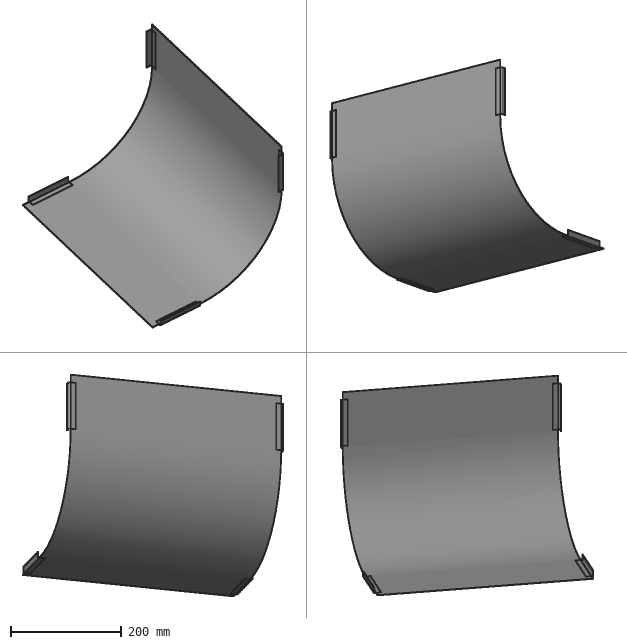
import cadquery as cq
import math

overall_width = 408.0
overall_depth = 290.5

side_offset = 4.0
sheet_thickness = 0.9
flat_length = 106.0
sheet_width = overall_width - 2 * side_offset

bracket_thickness = 1.0
bracket_length = 89.0
bracket_end_margin = 15.0
flange_width = 14.0
leg_height = 11.0
bend_radius = 2.5

sheet_outer = bracket_thickness
sheet_inner = sheet_outer + sheet_thickness
bend_centre = overall_depth - flat_length
half_width = overall_width / 2
diagonal = math.sqrt(0.5)


def arc_middle(radius):
    """Distance from both planes to the middle of a sheet bend of this radius."""
    return bend_centre - radius * diagonal


def make_sheet():
    """Bent sheet: horizontal end, quarter bend, vertical end."""
    outer_middle = arc_middle(bend_centre - sheet_outer)
    inner_middle = arc_middle(bend_centre - sheet_inner)
    profile_plane = cq.Plane(origin=(sheet_width / 2, 0, 0), xDir=(0, -1, 0), normal=(-1, 0, 0))
    return (
        cq.Workplane(profile_plane)
        .moveTo(overall_depth, sheet_outer)
        .lineTo(bend_centre, sheet_outer)
        .threePointArc((outer_middle, outer_middle), (sheet_outer, bend_centre))
        .lineTo(sheet_outer, overall_depth)
        .lineTo(sheet_inner, overall_depth)
        .lineTo(sheet_inner, bend_centre)
        .threePointArc((inner_middle, inner_middle), (bend_centre, sheet_inner))
        .lineTo(overall_depth, sheet_inner)
        .close()
        .extrude(sheet_width)
    )


def make_bracket():
    """Left bracket of the horizontal end: flange under the sheet, leg beside it."""
    inner_radius = bend_radius - bracket_thickness
    outer_middle = bend_radius * (1 - diagonal)
    inner_middle = bend_radius - inner_radius * diagonal
    back_end = bracket_end_margin + bracket_length - overall_depth
    return (
        cq.Workplane("XZ")
        .moveTo(flange_width, 0)
        .lineTo(bend_radius, 0)
        .threePointArc((outer_middle, outer_middle), (0, bend_radius))
        .lineTo(0, leg_height)
        .lineTo(bracket_thickness, leg_height)
        .lineTo(bracket_thickness, bend_radius)
        .threePointArc((inner_middle, inner_middle), (bend_radius, bracket_thickness))
        .lineTo(flange_width, bracket_thickness)
        .close()
        .extrude(bracket_length)
        .translate((-half_width, back_end, 0))
    )


def make_brackets():
    """One bracket at each side of both flat ends."""
    bottom_left = make_bracket()
    back_left = bottom_left.rotate((0, 0, 0), (1, 0, 0), 90).mirror("XY")
    brackets = []
    for left_bracket in (bottom_left, back_left):
        brackets.append(left_bracket.val())
        brackets.append(left_bracket.mirror("YZ").val())
    return brackets


sheet = make_sheet()
brackets = make_brackets()

result = cq.Compound.makeCompound([sheet.val(), *brackets])